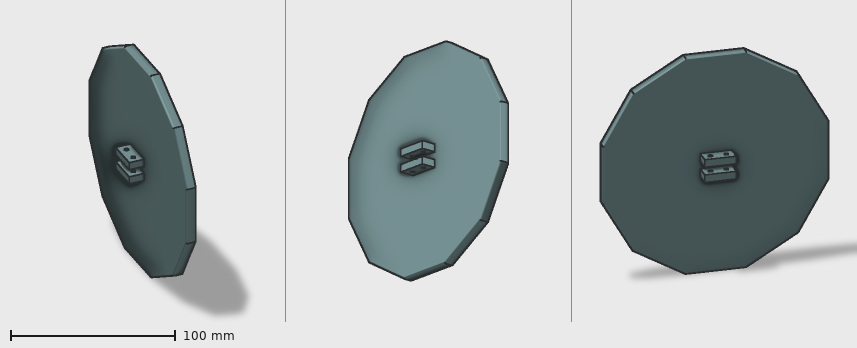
import cadquery as cq
import math

side_count = 12
width_across_flats = 142.7
plate_thickness = 6.8
rim_radius = 1.3

lug_length = 20.0
lug_depth = 10.0
lug_height = 5.0
lug_gap = 5.0
pin_hole_diameter = 2.5
pin_hole_spacing = lug_length / 2


def make_plate():
    """Polygonal plate with flats on ±X and ±Z and both rims rounded; front face at Y = 0."""
    diameter_across_corners = width_across_flats / math.cos(math.pi / side_count)
    half_side_angle = 180.0 / side_count
    return (
        cq.Workplane("XZ")
        .transformed(rotate=(0, 0, half_side_angle))
        .polygon(side_count, diameter_across_corners)
        .extrude(-plate_thickness)
        .faces("<Y or >Y")
        .fillet(rim_radius)
    )


def make_lug(center_z):
    """Block projecting forward from the plate, with two vertical pin holes at mid-depth."""
    return (
        cq.Workplane("XY")
        .box(lug_length, lug_depth, lug_height)
        .faces(">Z")
        .workplane()
        .rarray(pin_hole_spacing, 1.4, 2, 1)
        .hole(pin_hole_diameter)
        .translate((0, -lug_depth / 2, center_z))
    )


result = make_plate()
lug_offset = (lug_gap + lug_height) / 2
for center_z in (-lug_offset, lug_offset):
    result = result.union(make_lug(center_z))